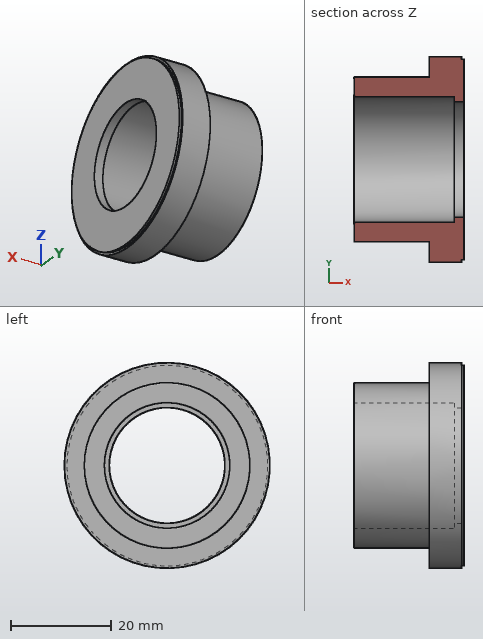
import cadquery as cq

TOTAL_LENGTH = 22.0
SLEEVE_LENGTH = 15.0
SLEEVE_DIAMETER = 33.0
FLANGE_DIAMETER = 41.0
FACE_DIAMETER = 40.0
FACE_HEIGHT = 0.5
BORE_DIAMETER = 25.0
LIP_DIAMETER = 23.0
LIP_THICKNESS = 2.0
END_FILLET_RADIUS = 0.3


def disc(diameter, start, end):
    """Cylinder along +X between two stations."""
    return cq.Workplane("YZ", origin=(start, 0, 0)).circle(diameter / 2).extrude(end - start)


def outer_body():
    """Sleeve, flange and raised contact face, all coaxial."""
    flange_end = TOTAL_LENGTH - FACE_HEIGHT
    sleeve = disc(SLEEVE_DIAMETER, 0, SLEEVE_LENGTH)
    flange = disc(FLANGE_DIAMETER, SLEEVE_LENGTH, flange_end)
    face = disc(FACE_DIAMETER, flange_end, TOTAL_LENGTH)
    return sleeve.union(flange).union(face)


def stepped_bore():
    """Main bore, narrowed by the lip at the flange end."""
    bore = disc(BORE_DIAMETER, 0, TOTAL_LENGTH - LIP_THICKNESS)
    lip_opening = disc(LIP_DIAMETER, 0, TOTAL_LENGTH)
    return bore.union(lip_opening)


bushing = outer_body().cut(stepped_bore())
result = bushing.faces("<X").edges().fillet(END_FILLET_RADIUS)